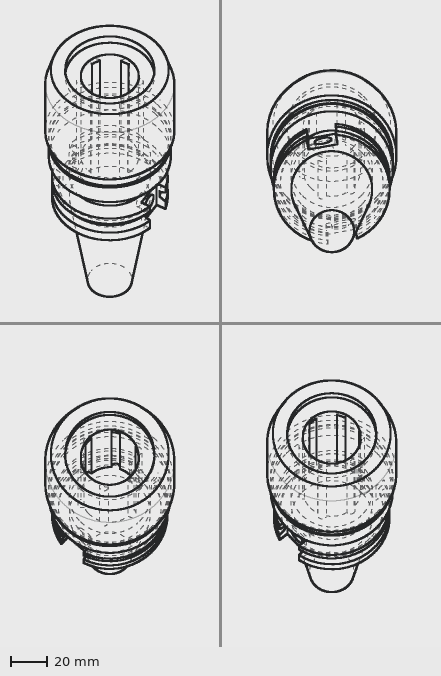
import cadquery as cq
import math

TOTAL_HEIGHT = 175.0

TAPER_HEIGHT = 68.4
TAPER_TOP_RADIUS = 22.2
TAPER_RATIO = 7 / 24
TAPER_BOTTOM_RADIUS = TAPER_TOP_RADIUS - TAPER_HEIGHT * TAPER_RATIO / 2

FLANGE_RADIUS = 31.8
FLANGE_BOTTOM = 69.5
FLANGE_TOP = 87.5
GRIP_FLOOR_RADIUS = 28.2
GRIP_LOWER_EDGE = 75.7
GRIP_FLOOR_BOTTOM = 77.7
GRIP_FLOOR_TOP = 81.5
GRIP_UPPER_EDGE = 83.1

SLOT_WIDTH = 16.3
SLOT_FLOOR = 25.2
HOLE_DIAMETER = 9.5
HOLE_HEIGHT = 79.5
HOLE_DEPTH = 5.2

NECK_RADIUS = 22.4
HEAD_BOTTOM = 103.2
COLLAR_RADIUS = 33.5
COLLAR_GROOVE_BOTTOM = 115.3
COLLAR_GROOVE_TOP = 116.7
COLLAR_GROOVE_DEPTH = 1.4
COLLAR_TOP = 122.1
HEAD_RADIUS = 35.5
HEAD_CYLINDER_BOTTOM = 124.2
HEAD_CYLINDER_TOP = 163.2
NOSE_RADIUS = 32.4

RECESS_RADIUS = 24.5
RECESS_DEPTH = 5.2
BORE_RADIUS = 16.0
BORE_BOTTOM = HEAD_BOTTOM
RELIEF_COUNT = 6
RELIEF_RADIUS = 2.5
RELIEF_START_ANGLE = 30.0
RELIEF_SETBACK = 4.2
RELIEF_TOP = TOTAL_HEIGHT - RECESS_DEPTH - RELIEF_SETBACK


def cylinder(radius, bottom, top):
    return cq.Workplane("XY").workplane(offset=bottom).circle(radius).extrude(top - bottom)


def holder_body():
    """Solid of revolution with the whole outer profile."""
    profile = [
        (0, 0),
        (TAPER_BOTTOM_RADIUS, 0),
        (TAPER_TOP_RADIUS, TAPER_HEIGHT),
        (TAPER_TOP_RADIUS, FLANGE_BOTTOM),
        (FLANGE_RADIUS, FLANGE_BOTTOM),
        (FLANGE_RADIUS, GRIP_LOWER_EDGE),
        (GRIP_FLOOR_RADIUS, GRIP_FLOOR_BOTTOM),
        (GRIP_FLOOR_RADIUS, GRIP_FLOOR_TOP),
        (FLANGE_RADIUS, GRIP_UPPER_EDGE),
        (FLANGE_RADIUS, FLANGE_TOP),
        (NECK_RADIUS, FLANGE_TOP),
        (NECK_RADIUS, HEAD_BOTTOM),
        (COLLAR_RADIUS, HEAD_BOTTOM),
        (COLLAR_RADIUS, COLLAR_GROOVE_BOTTOM),
        (COLLAR_RADIUS - COLLAR_GROOVE_DEPTH, COLLAR_GROOVE_BOTTOM),
        (COLLAR_RADIUS, COLLAR_GROOVE_TOP),
        (COLLAR_RADIUS, COLLAR_TOP),
        (HEAD_RADIUS, HEAD_CYLINDER_BOTTOM),
        (HEAD_RADIUS, HEAD_CYLINDER_TOP),
        (NOSE_RADIUS, TOTAL_HEIGHT),
        (0, TOTAL_HEIGHT),
    ]
    return cq.Workplane("XZ").polyline(profile).close().revolve(360, (0, 0, 0), (0, 1, 0))


def drive_slot():
    """Slot and blind hole cut from the -X side of the flange."""
    slot = cq.Workplane("XY").box(
        FLANGE_RADIUS - SLOT_FLOOR, SLOT_WIDTH, FLANGE_TOP - FLANGE_BOTTOM, centered=(False, True, False)
    ).translate((-FLANGE_RADIUS, 0, FLANGE_BOTTOM))
    hole = (
        cq.Workplane("YZ", origin=(-SLOT_FLOOR, 0, HOLE_HEIGHT))
        .circle(HOLE_DIAMETER / 2)
        .extrude(HOLE_DEPTH)
    )
    return slot.union(hole)


def bore_cavity():
    """Recess and blind bore, with round relief grooves starting below the bore mouth."""
    cavity = cylinder(RECESS_RADIUS, TOTAL_HEIGHT - RECESS_DEPTH, TOTAL_HEIGHT)
    cavity = cavity.union(cylinder(BORE_RADIUS, BORE_BOTTOM, TOTAL_HEIGHT))
    for index in range(RELIEF_COUNT):
        angle = math.radians(RELIEF_START_ANGLE + index * 360 / RELIEF_COUNT)
        center = (BORE_RADIUS * math.cos(angle), BORE_RADIUS * math.sin(angle), 0)
        cavity = cavity.union(cylinder(RELIEF_RADIUS, BORE_BOTTOM, RELIEF_TOP).translate(center))
    return cavity


result = holder_body().cut(bore_cavity())
for turn in (0, 180):
    result = result.cut(drive_slot().rotate((0, 0, 0), (0, 0, 1), turn))